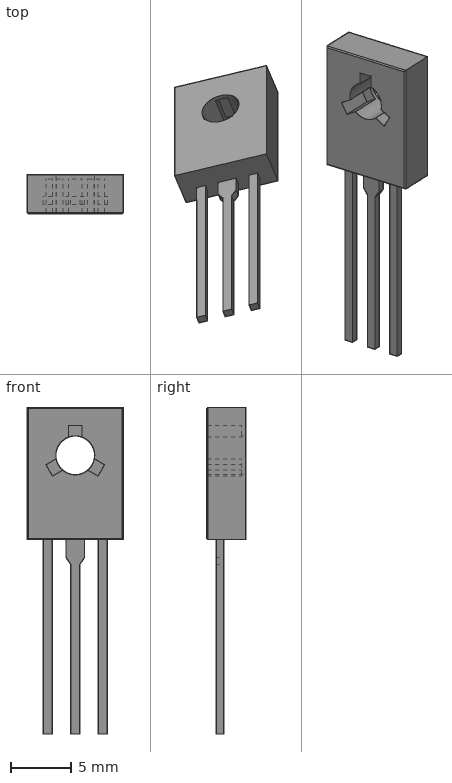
import cadquery as cq

total_height = 27.1
body_width = 8.0
body_depth = 3.25
body_height = 10.98
body_bottom = total_height - body_height
front_y = -body_depth / 2
back_y = body_depth / 2

bevel = 0.1

hole_diameter = 3.2
hole_z = total_height - 3.98
slot_count = 3
slot_width = 1.08
slot_reach = 2.5
slot_depth = 2.87

lead_width = 0.75
lead_thickness = 0.65
lead_pitch = 2.28
lead_back_y = back_y - 1.82
wide_width = 1.57
wide_length = 1.45
taper_length = 0.6


def make_body():
    """Block with a small bevel around its front face."""
    center_z = body_bottom + body_height / 2
    return (
        cq.Workplane("XY", origin=(0, 0, center_z))
        .box(body_width, body_depth, body_height)
        .faces("<Y")
        .chamfer(bevel)
    )


def cut_hole_and_slots(body):
    """Through hole, plus equally spaced slots sunk from the front face."""
    hole = (
        cq.Workplane("XZ", origin=(0, back_y, hole_z))
        .circle(hole_diameter / 2)
        .extrude(body_depth)
    )
    body = body.cut(hole)
    slot = (
        cq.Workplane("XZ", origin=(0, front_y + slot_depth, hole_z))
        .center(0, slot_reach / 2)
        .rect(slot_width, slot_reach)
        .extrude(slot_depth)
    )
    for index in range(slot_count):
        angle = index * 360 / slot_count
        body = body.cut(slot.rotate((0, 0, hole_z), (0, 1, hole_z), angle))
    return body


def make_lead(x):
    """Straight rectangular lead from the base plane up to the body."""
    return (
        cq.Workplane("XZ", origin=(x, lead_back_y, body_bottom / 2))
        .rect(lead_width, body_bottom)
        .extrude(lead_thickness)
    )


def make_center_widening():
    """Wide root of the middle lead, tapering down to the lead width."""
    wide_bottom = body_bottom - wide_length
    taper_bottom = wide_bottom - taper_length
    return (
        cq.Workplane("XZ", origin=(0, lead_back_y, 0))
        .moveTo(-wide_width / 2, body_bottom)
        .lineTo(wide_width / 2, body_bottom)
        .lineTo(wide_width / 2, wide_bottom)
        .lineTo(lead_width / 2, taper_bottom)
        .lineTo(-lead_width / 2, taper_bottom)
        .lineTo(-wide_width / 2, wide_bottom)
        .close()
        .extrude(lead_thickness)
    )


result = cut_hole_and_slots(make_body())
for position in (-1, 0, 1):
    result = result.union(make_lead(position * lead_pitch))
result = result.union(make_center_widening())